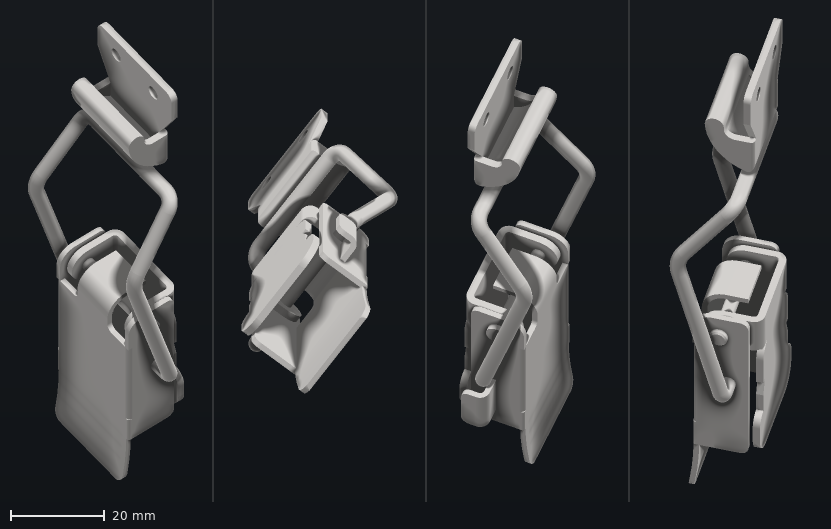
import cadquery as cq
import math


hook_top = 124.4
hook_back = -2.0
hook_sheet = 1.6
hook_plate_half = 13.0
hook_corner = 2.0
hook_taper_top = 116.5
hook_half = 10.1
hook_neck_half = hook_half - hook_sheet
hook_shelf = 108.0
hook_bottom = 98.9
hook_back_round = 0.9
hook_tip_radius = 2.1
hook_tip_y = -10.8
hook_tip_z = 111.1
hook_throat_radius = 2.5
hook_heel_radius = 1.7
hook_belly_radius = 13.7
hook_pocket_floor = 103.7
hook_hole_x = 6.5
hook_hole_z = 119.6
hook_hole_diameter = 3.2

wire_diameter = 3.5
bail_width = 38.0
bail_leg_x = (bail_width - wire_diameter) / 2
bail_pivot_y = -7.1
bail_pivot_z = 35.6
bail_pivot_bend = 2.0
bail_knee_y = -17.5
bail_knee_z = 75.0
bail_knee_bend = 6.8
bail_bar_half = 15.0
bail_bar_y = -4.7
bail_bar_z = 92.6
bail_bar_bend = 3.2

lever_sheet = 1.2
lever_half = 12.6
lever_inner = lever_half - lever_sheet
lever_front = -14.9
lever_back = -2.6
lever_top = 54.6
lever_bottom = 14.8
lever_plate_top = 45.9
lever_edge_round = 1.1
lever_foot_top = 21.7
lever_foot_round = 0.6
lever_back_corner = 1.9
lever_front_corner = 4.1
tongue_half = 5.2
tongue_bend = 5.2
tongue_end = -4.6
tongue_root_fillet = 1.5
tail_half = 11.8
tail_bend = 77.1
tail_angle = math.radians(8.8)
tail_corner = 2.7

tab_bottom = 19.4
tab_top = 30.6
tab_reach = 18.3
tab_front = -8.5
tab_back = -2.7
tab_bend = 2.2
tab_corner = 1.9

rivet_y = -9.1
rivet_z = 49.5
rivet_diameter = 3.0
rivet_head_diameter = 5.0
rivet_tail_diameter = 4.0
rivet_end = 13.8
rivet_tail_chamfer = 0.4

base_sheet = 1.6
base_bottom = 14.5
base_foot_half = 12.7
base_foot_corner = 5.2
base_foot_top = 26.4
base_foot_shoulder = 3.2
base_half = 10.0
base_corner = 4.0
base_waist_half = 8.7
base_waist_bottom = 31.1
base_waist_top = 34.8
ear_radius = 4.4
ear_half = 10.8
ear_bend = 2.5
ear_top = rivet_z + ear_radius
ear_bottom = rivet_z - ear_radius


def box(x0, x1, y0, y1, z0, z1):
    """Box between the given limits."""
    return cq.Workplane("XY").box(x1 - x0, y1 - y0, z1 - z0, centered=False).translate((x0, y0, z0))


def side_plane(x):
    """Workplane facing +X whose local axes are Y and Z."""
    return cq.Workplane("YZ", origin=(x, 0, 0))


def rod(x0, x1, y, z, diameter):
    """Cylinder along X."""
    return side_plane(x0).center(y, z).circle(diameter / 2).extrude(x1 - x0)


def make_hook():
    plate = (
        cq.Workplane("XZ", origin=(0, hook_back, 0))
        .moveTo(-hook_neck_half, hook_shelf)
        .lineTo(-hook_plate_half, hook_taper_top)
        .lineTo(-hook_plate_half, hook_top)
        .lineTo(hook_plate_half, hook_top)
        .lineTo(hook_plate_half, hook_taper_top)
        .lineTo(hook_neck_half, hook_shelf)
        .close()
        .extrude(hook_sheet)
    )
    plate = plate.edges("|Y and >Z").fillet(hook_corner)
    holes = (
        cq.Workplane("XZ", origin=(0, hook_back, 0))
        .pushPoints([(-hook_hole_x, hook_hole_z), (hook_hole_x, hook_hole_z)])
        .circle(hook_hole_diameter / 2)
        .extrude(hook_sheet)
    )
    plate = plate.cut(holes)

    tip_inner = hook_tip_y + hook_tip_radius
    tip_outer = hook_tip_y - hook_tip_radius
    heel_y = hook_back - hook_heel_radius
    heel_z = hook_bottom + hook_heel_radius
    claw = (
        side_plane(-hook_half)
        .moveTo(hook_back, hook_shelf)
        .lineTo(tip_inner + hook_throat_radius, hook_shelf)
        .radiusArc((tip_inner, hook_shelf + hook_throat_radius), hook_throat_radius)
        .lineTo(tip_inner, hook_tip_z)
        .threePointArc((hook_tip_y, hook_tip_z + hook_tip_radius), (tip_outer, hook_tip_z))
        .radiusArc((heel_y, hook_bottom), -hook_belly_radius)
        .radiusArc((hook_back, heel_z), -hook_heel_radius)
        .close()
        .extrude(2 * hook_half)
    )
    rounded_block = box(-hook_half, hook_half, 2 * tip_outer, hook_back, hook_bottom, hook_top)
    rounded_block = rounded_block.edges("|Z and >Y").fillet(hook_back_round)
    claw = claw.intersect(rounded_block)

    plate_front = hook_back - hook_sheet
    pocket_top = hook_tip_z + hook_tip_radius
    pocket = (
        side_plane(-hook_neck_half)
        .moveTo(plate_front, pocket_top)
        .lineTo(tip_inner, pocket_top)
        .lineTo(tip_inner, hook_tip_z)
        .radiusArc((plate_front, hook_pocket_floor), -(hook_belly_radius - 2 * hook_tip_radius))
        .close()
        .extrude(2 * hook_neck_half)
    )
    return plate.union(claw.cut(pocket))


def rounded_path(points, radii):
    """Wire through the points, with each inner corner rounded by its bend radius."""
    edges = []
    start = points[0]
    for before, corner, after, radius in zip(points, points[1:], points[2:], radii):
        into = (before - corner).normalized()
        out = (after - corner).normalized()
        half_angle = into.getAngle(out) / 2
        setback = radius / math.tan(half_angle)
        bend_start = corner + into * setback
        bend_end = corner + out * setback
        bisector = (into + out).normalized()
        bend_middle = corner + bisector * (radius / math.sin(half_angle) - radius)
        edges.append(cq.Edge.makeLine(start, bend_start))
        edges.append(cq.Edge.makeThreePointArc(bend_start, bend_middle, bend_end))
        start = bend_end
    edges.append(cq.Edge.makeLine(start, points[-1]))
    return cq.Wire.assembleEdges(edges)


def make_bail():
    left = [
        cq.Vector(-lever_inner, bail_pivot_y, bail_pivot_z),
        cq.Vector(-bail_leg_x, bail_pivot_y, bail_pivot_z),
        cq.Vector(-bail_leg_x, bail_knee_y, bail_knee_z),
        cq.Vector(-bail_bar_half, bail_bar_y, bail_bar_z),
    ]
    right = [cq.Vector(-p.x, p.y, p.z) for p in reversed(left)]
    left_bends = [bail_pivot_bend, bail_knee_bend, bail_bar_bend]
    path = rounded_path(left + right, left_bends + left_bends[::-1])
    start = side_plane(-lever_inner).center(bail_pivot_y, bail_pivot_z)
    return start.circle(wire_diameter / 2).sweep(cq.Workplane(path))


def make_lever_wall(x):
    """Side wall whose lower X limit is x."""
    wall = box(x, x + lever_sheet, lever_front, lever_back, lever_bottom, lever_top)
    wall = wall.edges("|X and >Y").fillet(lever_back_corner)
    return wall.edges("|X and <Y and >Z").fillet(lever_front_corner)


def make_tongue():
    """Strip that leaves the front plate, bends over the rivet and ends above the base."""
    bend_y = lever_front + tongue_bend
    bend_z = lever_top - tongue_bend
    inner_bend = tongue_bend - lever_sheet
    inner_front = lever_front + lever_sheet
    inner_top = lever_top - lever_sheet
    return (
        side_plane(-tongue_half)
        .moveTo(lever_front, lever_plate_top)
        .lineTo(lever_front, bend_z)
        .radiusArc((bend_y, lever_top), tongue_bend)
        .lineTo(tongue_end, lever_top)
        .lineTo(tongue_end, inner_top)
        .lineTo(bend_y, inner_top)
        .radiusArc((inner_front, bend_z), -inner_bend)
        .lineTo(inner_front, lever_plate_top)
        .close()
        .extrude(2 * tongue_half)
    )


def make_tail():
    """Finger tab that curves forward below the front plate and ends in a straight lip."""
    centre_y = lever_front - tail_bend
    outer_bend = tail_bend + lever_sheet
    sine = math.sin(tail_angle)
    cosine = math.cos(tail_angle)
    lip = (lever_bottom - outer_bend * sine) / cosine
    front_end = (centre_y + tail_bend * cosine, lever_bottom - tail_bend * sine)
    back_end = (centre_y + outer_bend * cosine, lever_bottom - outer_bend * sine)
    tail = (
        side_plane(-tail_half)
        .moveTo(lever_front, lever_bottom)
        .radiusArc(front_end, tail_bend)
        .lineTo(front_end[0] - lip * sine, front_end[1] - lip * cosine)
        .lineTo(back_end[0] - lip * sine, back_end[1] - lip * cosine)
        .lineTo(*back_end)
        .radiusArc((lever_front + lever_sheet, lever_bottom), -outer_bend)
        .close()
        .extrude(2 * tail_half)
    )
    rounded_outline = box(-tail_half, tail_half, 2 * lever_front, 0, 0, lever_bottom)
    rounded_outline = rounded_outline.edges("|Y and <Z").fillet(tail_corner)
    return tail.intersect(rounded_outline)


def make_lever_outline(z0, z1, edge_round):
    """Block around the lever between two heights, with its upright front edges rounded."""
    block = box(-lever_half, lever_half, lever_front, lever_back, z0, z1)
    return block.edges("|Z and <Y").fillet(edge_round)


def make_lever():
    plate_back = lever_front + lever_sheet
    plate = box(-lever_half, lever_half, lever_front, plate_back, lever_bottom, lever_plate_top)
    lever = plate.union(make_lever_wall(-lever_half)).union(make_lever_wall(lever_inner))
    top = box(-lever_half, lever_half, lever_front, lever_back, lever_plate_top, lever_top)
    middle = make_lever_outline(lever_foot_top, lever_plate_top, lever_edge_round)
    foot = make_lever_outline(lever_bottom, lever_foot_top, lever_foot_round)
    lever = lever.intersect(top.union(middle).union(foot)).union(make_tongue())

    roots = cq.selectors.BoxSelector(
        (-tongue_half - lever_sheet / 2, lever_front - lever_sheet, lever_plate_top - lever_sheet / 2),
        (tongue_half + lever_sheet / 2, lever_front + 2 * lever_sheet, lever_plate_top + lever_sheet / 2),
    )
    lever = lever.edges("|Y").edges(roots).fillet(tongue_root_fillet)
    return lever.union(make_tail())


def make_tab():
    """L-shaped tab that leaves the left wall and turns towards the base."""
    tab = box(-tab_reach, -lever_inner, tab_front, tab_back, tab_bottom, tab_top)
    tab = tab.edges("|Z and <X and <Y").fillet(tab_bend)
    tab = tab.edges("|X and >Y").fillet(tab_corner)
    inside = box(
        -tab_reach + lever_sheet, -lever_inner, tab_front + lever_sheet, tab_back, tab_bottom, tab_top
    )
    inside = inside.edges("|Z and <X and <Y").fillet(tab_bend - lever_sheet)
    return tab.cut(inside)


def make_rivet():
    shank = rod(-lever_half, lever_half, rivet_y, rivet_z, rivet_diameter)
    head = rod(-rivet_end, -lever_half, rivet_y, rivet_z, rivet_head_diameter)
    tail = rod(lever_half, rivet_end, rivet_y, rivet_z, rivet_tail_diameter)
    tail = tail.faces(">X").chamfer(rivet_tail_chamfer)
    return shank.union(head).union(tail)


def make_base_plate():
    """Mounting plate with rounded top corners, a notched waist and a wide rounded foot."""
    right_side = [
        (base_half, base_waist_bottom),
        (base_waist_half, base_waist_top),
        (base_half, base_waist_top),
        (base_half, ear_bottom),
    ]
    left_side = [(-x, z) for x, z in reversed(right_side)]
    plate = cq.Workplane("XZ").polyline(right_side + left_side).close().extrude(base_sheet)
    plate = plate.edges("|Y and >Z").fillet(base_corner)
    foot = box(-base_foot_half, base_foot_half, -base_sheet, 0, base_bottom, base_foot_top)
    foot = foot.edges("|Y and <Z").fillet(base_foot_corner)
    foot = foot.edges("|Y and >Z").fillet(base_foot_shoulder)
    neck = box(-base_half, base_half, -base_sheet, 0, base_foot_top, base_waist_bottom)
    return plate.union(neck).union(foot)


def make_ears():
    """Channel above the plate: a back wall and two ears rounded around the rivet."""
    nose = rivet_y - ear_radius
    channel = box(-ear_half, ear_half, nose, 0, ear_bottom, ear_top)
    channel = channel.edges("|Z and >Y").fillet(ear_bend)
    inner_half = ear_half - base_sheet
    inside = box(-inner_half, inner_half, nose, -base_sheet, ear_bottom, ear_top)
    inside = inside.edges("|Z and >Y").fillet(ear_bend - base_sheet)
    side_profile = box(-ear_half, ear_half, rivet_y, 0, ear_bottom, ear_top)
    side_profile = side_profile.union(rod(-ear_half, ear_half, rivet_y, rivet_z, 2 * ear_radius))
    return channel.cut(inside).intersect(side_profile)


def make_latch():
    base = make_base_plate().union(make_ears())
    latch = make_lever().union(make_tab()).union(base).union(make_rivet())
    pivot_holes = rod(-lever_half, -lever_inner, bail_pivot_y, bail_pivot_z, wire_diameter)
    pivot_holes = pivot_holes.union(rod(lever_inner, lever_half, bail_pivot_y, bail_pivot_z, wire_diameter))
    return latch.cut(pivot_holes)


hook = make_hook()
bail = make_bail()
latch = make_latch()

result = cq.Compound.makeCompound([hook.val(), bail.val(), latch.val()])